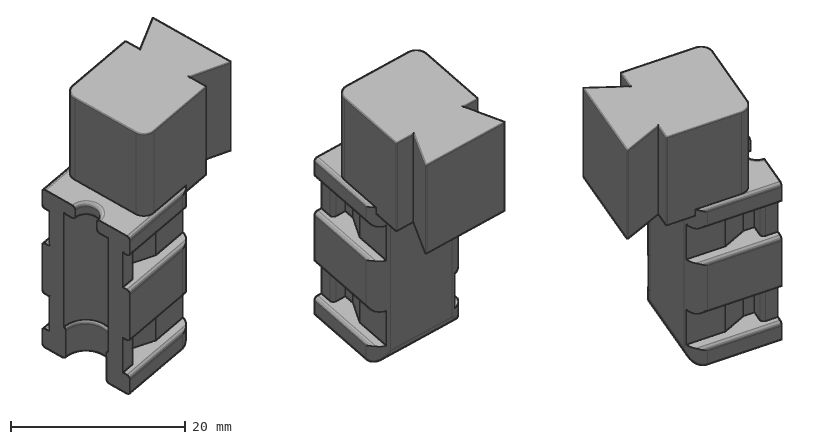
import cadquery as cq
import math

total_depth = 19.5
total_height = 38.0

body_width = 13.0
body_depth = 11.5
body_height = 25.0
end_flange_height = 3.0
middle_flange_height = 8.0
edge_radius = 0.5
back_radius = 2.0

lip_half_width = 5.47
lip_depth = 2.1
groove_half_width = 3.6
groove_end = 3.5
back_half_width = 5.0
slope_end = 6.5

bore_radius = 3.25
lower_bore_radius = 3.0
lower_bore_height = 5.0
top_hole_radius = 1.6
top_wall = 2.0

block_width = 12.0
block_front = 3.45
block_back = 14.5
block_bottom = 23.95
block_corner_radius = 1.5
dovetail_offset = -0.2
dovetail_root_width = 7.37
dovetail_tip_width = 11.7
head_edge_radius = 0.1

block_height = total_height - block_bottom
recess_height = (body_height - 2 * end_flange_height - middle_flange_height) / 2


def flange(bottom, height):
    """Full-width bar along Y with rounded long edges."""
    bar = cq.Workplane("XY").box(body_width, body_depth, height, centered=(True, False, False))
    return bar.edges("|Y").fillet(edge_radius).translate((0, 0, bottom))


def neck():
    """Core of the body, symmetric about X = 0, that shows in the recesses between the flanges."""
    right_side = [
        (lip_half_width, 0),
        (lip_half_width, lip_depth),
        (groove_half_width, lip_depth),
        (groove_half_width, groove_end),
        (back_half_width, slope_end),
        (back_half_width, body_depth),
    ]
    left_side = [(-x, y) for x, y in reversed(right_side)]
    core = cq.Workplane("XY").polyline(right_side + left_side).close().extrude(body_height)
    for side in ("<X", ">X"):
        core = core.edges("|Z").edges(side).edges(">Y").fillet(edge_radius)
    return core


def rounded_envelope():
    """Body block with rounded upright back edges and a rounded lower back edge."""
    block = cq.Workplane("XY").box(body_width, body_depth, body_height, centered=(True, False, False))
    upright_rounds = block.edges("|Z and >Y").fillet(back_radius)
    lower_round = block.edges("|X and >Y and <Z").fillet(back_radius)
    envelope = upright_rounds.intersect(lower_round)
    return envelope.edges("%ELLIPSE").fillet(edge_radius)


def bore():
    """Turned cutter for the stepped bore, with rounded lips at each hole end."""
    r = edge_radius
    cavity_top = body_height - top_wall
    lip_centre_radius = lower_bore_radius + r
    lip_centre_height = lower_bore_height - r
    runout_angle = math.acos((lip_centre_radius - bore_radius) / r)
    runout_height = lip_centre_height + r * math.sin(runout_angle)
    lip_middle = (
        lip_centre_radius - r * math.cos(runout_angle / 2),
        lip_centre_height + r * math.sin(runout_angle / 2),
    )
    bend = r * (1 - math.sqrt(0.5))
    profile = (
        cq.Workplane("XZ")
        .moveTo(0, 0)
        .lineTo(lower_bore_radius + r, 0)
        .threePointArc((lower_bore_radius + bend, bend), (lower_bore_radius, r))
        .lineTo(lower_bore_radius, lip_centre_height)
        .threePointArc(lip_middle, (bore_radius, runout_height))
        .lineTo(bore_radius, cavity_top)
        .lineTo(top_hole_radius + r, cavity_top)
        .threePointArc((top_hole_radius + bend, cavity_top + bend), (top_hole_radius, cavity_top + r))
        .lineTo(top_hole_radius, body_height - r)
        .threePointArc((top_hole_radius + bend, body_height - bend), (top_hole_radius + r, body_height))
        .lineTo(0, body_height)
        .close()
    )
    return profile.revolve(360, (0, 0), (0, 1))


def head():
    """Square head with rounded front corners and an upright dovetail rail that widens away from it."""
    depth = block_back - block_front
    block = cq.Workplane("XY").box(block_width, depth, block_height, centered=(True, False, False))
    block = block.edges("|Z and <Y").fillet(block_corner_radius)
    block = block.edges("|Z and >Y").edges("<X or >X").fillet(head_edge_radius)
    block = block.faces("<Z").edges().fillet(head_edge_radius)
    block = block.translate((0, block_front, 0))

    root = dovetail_root_width / 2
    tip = dovetail_tip_width / 2
    buried = block_back - head_edge_radius
    outline = [
        (-root, buried),
        (root, buried),
        (root, block_back),
        (tip, total_depth),
        (-tip, total_depth),
        (-root, block_back),
    ]
    rail = cq.Workplane("XY").polyline(outline).close().extrude(block_height)
    rail = rail.edges("|Z and >Y").fillet(head_edge_radius)
    joined = block.union(rail.translate((dovetail_offset, 0, 0)))
    return joined.faces(">Z").edges().fillet(head_edge_radius).translate((0, 0, block_bottom))


body = neck()
body = body.union(flange(0, end_flange_height))
body = body.union(flange(end_flange_height + recess_height, middle_flange_height))
body = body.union(flange(body_height - end_flange_height, end_flange_height))
body = body.intersect(rounded_envelope()).cut(bore())

result = body.union(head())